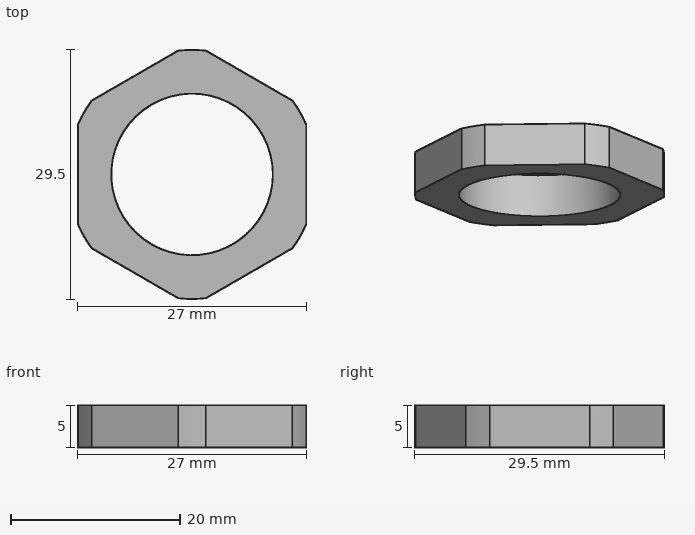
import cadquery as cq
import math

across_flats = 27.0
corner_diameter = 29.48
bore_diameter = 19.07
thickness = 5.0
side_count = 6

across_corners = across_flats / math.cos(math.pi / side_count)
hexagon = (
    cq.Workplane("XY")
    .polygon(side_count, across_corners)
    .extrude(thickness)
    .rotate((0, 0, 0), (0, 0, 1), 90)
)

corner_round = cq.Workplane("XY").circle(corner_diameter / 2).extrude(thickness)
bore = cq.Workplane("XY").circle(bore_diameter / 2).extrude(thickness)

result = hexagon.intersect(corner_round).cut(bore)